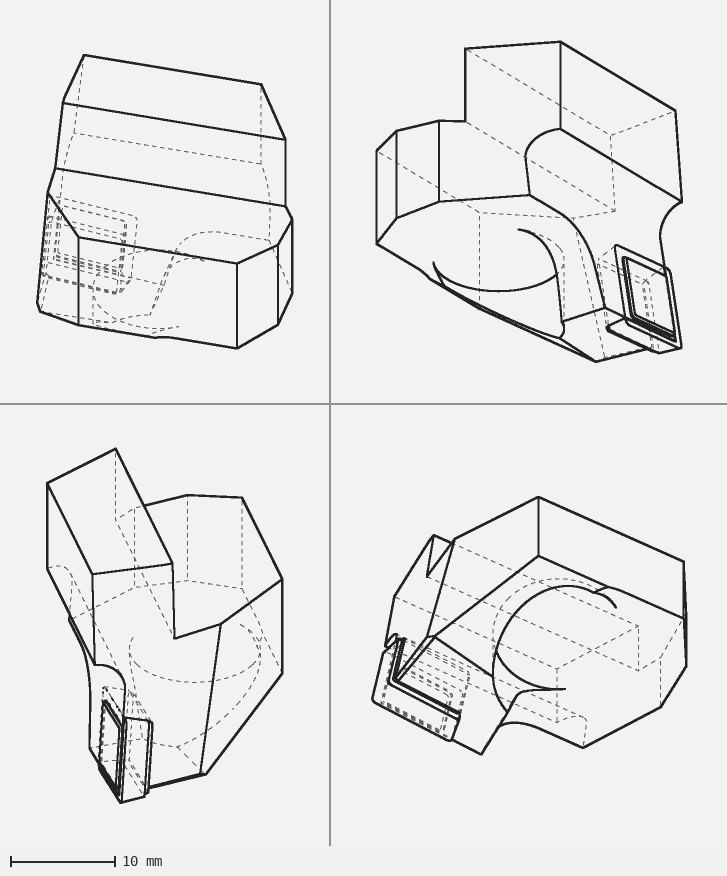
import cadquery as cq
import math

length_x = 27.0
depth_y = 20.08
height_z = 24.83
margin = 5.4
profile_bottom_z = -1.35
half_space_size = 107.95

front_left_x = 8.47
front_right_x = 24.25
right_start_y = 4.7
right_end_y = 9.93
back_right_x = 21.08
chamfer_slope = 1.44

front_bottom_z = 7.94
front_top_z = 18.45
ledge_y = 12.12
ledge_z = 16.87
slant_slope = 0.68
back_bottom_z = 15.28
chip_radius = 2.95

tilt = 6.0
rake_lean = 5.0
left_top_x = 3.45
relief_y = 12.95
relief_lean = 0.0913

underside_point = (1.9, 9.18, 1.67)
underside_normal = (-0.094, -0.05, -1)
corner_point = (1.5, 9.93, 2.25)
corner_normal = (-0.75, -0.13, -0.65)

arch_z = 8.29
arch_end_x = 17.9
arch_radius = 5.0
arch_wall_angle = 75.0
flute_x = 14.45
flute_y = 7.15
flute_radius = 6.3

insert_side = 8.72
insert_corner = (-0.05, 18.08, 0.86)
insert_corner_radius = 0.55
flank_angle = 11.0
flank_depth = 2.38
bevel_depth = 0.43
bevel_angle = 30.0
rim_width = 0.97
centre_height = 0.32
centre_angle = 40.0


def half_space(point, outward):
    """Large block filling the space on the outward side of a plane."""
    plane = cq.Plane(origin=point, normal=outward)
    return cq.Workplane(plane).rect(half_space_size, half_space_size).extrude(half_space_size)


def make_stock():
    """Walls of the plan outline intersected with the stepped side profile."""
    plan = (
        cq.Workplane("XY")
        .workplane(offset=-margin)
        .polyline([
            (front_left_x, 0),
            (front_right_x, 0),
            (length_x, right_start_y),
            (length_x, right_end_y),
            (back_right_x, depth_y),
            (-margin, depth_y),
            (-margin, (front_left_x + margin) * chamfer_slope),
        ])
        .close()
        .extrude(height_z + margin)
    )
    lean = math.radians(rake_lean)
    arc_mid = math.radians((90 - rake_lean) / 2)
    arc_centre_z = back_bottom_z - chip_radius
    arc_end_y = depth_y - chip_radius * math.cos(lean)
    arc_end_z = arc_centre_z + chip_radius * math.sin(lean)
    rake_bottom_y = arc_end_y + (arc_end_z - profile_bottom_z) * math.tan(lean)
    slant_bottom_y = (front_bottom_z - profile_bottom_z) / slant_slope
    profile = (
        cq.Workplane("YZ")
        .workplane(offset=-margin)
        .moveTo(0, front_bottom_z)
        .lineTo(0, front_top_z)
        .lineTo(ledge_y, ledge_z)
        .lineTo(ledge_y, height_z)
        .lineTo(depth_y, height_z)
        .lineTo(depth_y, back_bottom_z)
        .threePointArc(
            (depth_y - chip_radius * math.sin(arc_mid), arc_centre_z + chip_radius * math.cos(arc_mid)),
            (arc_end_y, arc_end_z),
        )
        .lineTo(rake_bottom_y, profile_bottom_z)
        .lineTo(slant_bottom_y, profile_bottom_z)
        .close()
        .extrude(length_x + 2 * margin)
    )
    return plan.intersect(profile)


def make_arch():
    """Recess through the underside: sloping wall, round, then a flat roof."""
    wall = math.radians(arch_wall_angle)
    centre_z = arch_z - arch_radius
    wall_x = arch_end_x - arch_radius * math.sin(wall)
    wall_z = centre_z + arch_radius * math.cos(wall)
    foot_x = wall_x - (wall_z + margin) / math.tan(wall)
    return (
        cq.Workplane("XZ")
        .workplane(offset=-depth_y - margin)
        .moveTo(foot_x, -margin)
        .lineTo(wall_x, wall_z)
        .threePointArc(
            (arch_end_x - arch_radius * math.sin(wall / 2), centre_z + arch_radius * math.cos(wall / 2)),
            (arch_end_x, arch_z),
        )
        .lineTo(length_x + margin, arch_z)
        .lineTo(length_x + margin, -margin)
        .close()
        .extrude(depth_y + 2 * margin)
    )


def make_flute():
    """Upright round cut that hollows the front of the leg."""
    return (
        cq.Workplane("XY")
        .workplane(offset=-margin)
        .center(flute_x, flute_y)
        .circle(flute_radius)
        .extrude(arch_z + margin)
    )


def cut_relief(body):
    """Trim the left walls, the underside and the corner between them."""
    slope = math.tan(math.radians(tilt))
    top_point = (left_top_x, relief_y, height_z)
    side = half_space(top_point, (-1, 0, slope))
    lower_side = half_space(top_point, (-1, -slope, slope * (1 - relief_lean)))
    underside = half_space(underside_point, underside_normal)
    corner = half_space(corner_point, corner_normal)
    return body.cut(side).cut(lower_side).cut(underside).cut(corner)


def make_insert():
    """Square insert with relieved flanks, bevelled seat and raised centre."""
    turn = math.radians(tilt)
    lean = math.radians(rake_lean)
    inward = cq.Vector(0, -math.cos(lean), -math.sin(lean))
    edge = cq.Vector(math.cos(turn), math.sin(turn) * math.tan(lean), -math.sin(turn))
    rake = cq.Plane(origin=insert_corner, xDir=edge, normal=inward)
    middle = insert_side / 2

    def rounded_square(offset, side, radius):
        outline = cq.Sketch().rect(side, side).vertices().fillet(radius)
        return cq.Workplane(rake).workplane(offset=offset).center(middle, middle).placeSketch(outline)

    flank_inset = flank_depth * math.tan(math.radians(flank_angle))
    seat_side = insert_side - 2 * flank_inset
    centre_side = insert_side - 2 * rim_width
    flank = rounded_square(0, insert_side, insert_corner_radius).extrude(flank_depth, taper=flank_angle)
    seat = rounded_square(flank_depth, seat_side, insert_corner_radius).extrude(bevel_depth, taper=bevel_angle)
    centre = rounded_square(0, centre_side, insert_corner_radius).extrude(-centre_height, taper=centre_angle)
    return flank.union(seat).union(centre)


insert = make_insert()
holder = cut_relief(make_stock().cut(make_arch()).cut(make_flute())).cut(insert)

result = cq.Compound.makeCompound([holder.val(), insert.val()])